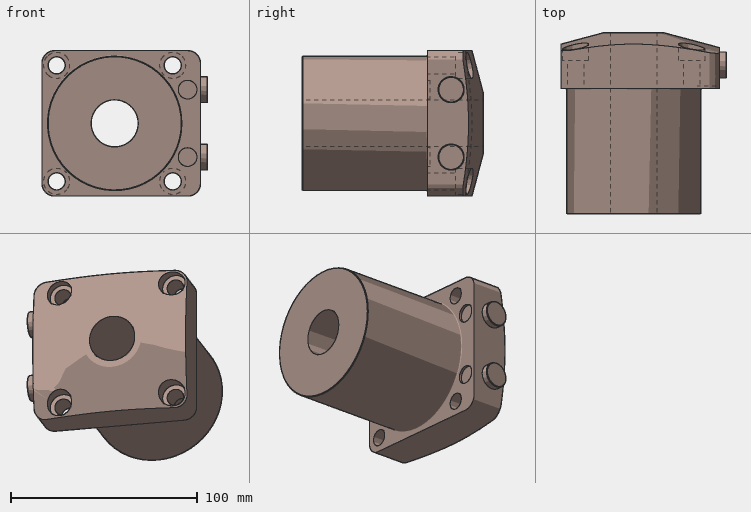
import cadquery as cq
import math

TOTAL_LENGTH = 97.0
FLANGE_THICKNESS = 30.0
BARREL_LENGTH = TOTAL_LENGTH - FLANGE_THICKNESS

FLANGE_HEIGHT = 78.0
FLANGE_LEFT = -FLANGE_HEIGHT / 2
FLANGE_RIGHT = 46.0
FLANGE_WIDTH = FLANGE_RIGHT - FLANGE_LEFT
CORNER_RADIUS = 7.0

CONE_TIP_RADIUS = 16.3
CONE_SLOPE = 15.0
CONE_BASE_RADIUS = CONE_TIP_RADIUS + FLANGE_THICKNESS / math.tan(math.radians(CONE_SLOPE))

BARREL_DIAMETER = 72.0
BORE_DIAMETER = 25.0
BARREL_END_CHAMFER = 0.4
BARREL_ROOT_FILLET = 0.5

MOUNT_HOLE_DIAMETER = 9.0
MOUNT_HOLE_SPACING = 62.1
COUNTERBORE_DIAMETER = 14.0
COUNTERBORE_SEAT_Y = BARREL_LENGTH + FLANGE_THICKNESS / 2

PORT_SPACING = 36.1
PORT_HEIGHTS = (PORT_SPACING / 2, -PORT_SPACING / 2)
PORT_X = 39.0
PORT_DIAMETER = 10.0
PORT_DEPTH = 1.5

PLUG_DIAMETER = 14.0
PLUG_LENGTH = 3.8
PLUG_CHAMFER = 0.4
PLUG_SETBACK = 12.7
PLUG_Y = BARREL_LENGTH + PLUG_SETBACK


def y_plane(y):
    """Sketch plane at the given Y, with local axes along X and Z and its normal along -Y."""
    return cq.Workplane("XZ", origin=(0, y, 0))


def make_flange():
    """Rounded rectangular block whose back is trimmed to a shallow cone about the bore axis."""
    block = (
        y_plane(BARREL_LENGTH)
        .center((FLANGE_LEFT + FLANGE_RIGHT) / 2, 0)
        .rect(FLANGE_WIDTH, FLANGE_HEIGHT)
        .extrude(-FLANGE_THICKNESS)
        .edges("|Y")
        .fillet(CORNER_RADIUS)
    )
    cone = cq.Workplane(
        cq.Solid.makeCone(
            CONE_BASE_RADIUS,
            CONE_TIP_RADIUS,
            FLANGE_THICKNESS,
            pnt=cq.Vector(0, BARREL_LENGTH, 0),
            dir=cq.Vector(0, 1, 0),
        )
    )
    return block.intersect(cone)


def make_barrel():
    """Cylinder with a chamfered free end."""
    return (
        y_plane(BARREL_LENGTH)
        .circle(BARREL_DIAMETER / 2)
        .extrude(BARREL_LENGTH)
        .faces("<Y")
        .chamfer(BARREL_END_CHAMFER)
    )


def make_root_fillet():
    """Ring that blends the barrel into the flange face with a concave arc."""
    radius = BARREL_DIAMETER / 2
    middle = BARREL_ROOT_FILLET * (1 - math.sqrt(0.5))
    return (
        cq.Workplane("XY")
        .moveTo(radius, BARREL_LENGTH)
        .lineTo(radius + BARREL_ROOT_FILLET, BARREL_LENGTH)
        .threePointArc(
            (radius + middle, BARREL_LENGTH - middle),
            (radius, BARREL_LENGTH - BARREL_ROOT_FILLET),
        )
        .close()
        .revolve(360, (0, 0, 0), (0, 1, 0))
    )


def corner_cylinders(diameter, start_y, end_y):
    """Four cylinders on the mounting hole axes, from start_y to end_y."""
    return (
        y_plane(end_y)
        .rect(MOUNT_HOLE_SPACING, MOUNT_HOLE_SPACING, forConstruction=True)
        .vertices()
        .circle(diameter / 2)
        .extrude(end_y - start_y)
    )


def make_mount_holes():
    """Cutters for the through holes and the counterbores open to the conical back."""
    through_holes = corner_cylinders(MOUNT_HOLE_DIAMETER, BARREL_LENGTH, TOTAL_LENGTH)
    counterbores = corner_cylinders(COUNTERBORE_DIAMETER, COUNTERBORE_SEAT_Y, TOTAL_LENGTH)
    return through_holes.union(counterbores)


def make_housing():
    """Flange and barrel in one piece, with the bore, mounting holes and port recesses."""
    bore = y_plane(TOTAL_LENGTH).circle(BORE_DIAMETER / 2).extrude(TOTAL_LENGTH)
    port_recesses = (
        y_plane(BARREL_LENGTH)
        .pushPoints([(PORT_X, z) for z in PORT_HEIGHTS])
        .circle(PORT_DIAMETER / 2)
        .extrude(-PORT_DEPTH)
    )
    solid = make_flange().union(make_barrel()).union(make_root_fillet())
    return solid.cut(bore).cut(make_mount_holes()).cut(port_recesses)


def make_plug(z):
    """Disc seated on the +X side of the flange, with a chamfered outer rim."""
    return (
        cq.Workplane("YZ", origin=(FLANGE_RIGHT, PLUG_Y, z))
        .circle(PLUG_DIAMETER / 2)
        .extrude(PLUG_LENGTH)
        .faces(">X")
        .chamfer(PLUG_CHAMFER)
    )


housing = make_housing()
plugs = [make_plug(z) for z in PORT_HEIGHTS]

result = cq.Compound.makeCompound([housing.val(), *[plug.val() for plug in plugs]])